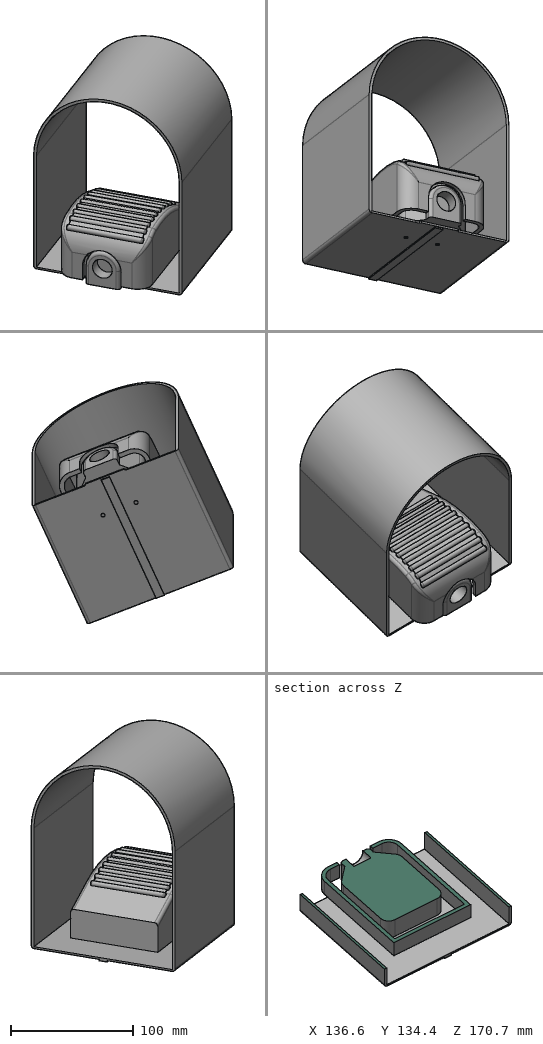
import cadquery as cq
import math

TURN = -3.4

GUARD_WIDTH = 130.0
GUARD_DEPTH = 115.5
GUARD_HEIGHT = 169.5
GUARD_SPRING = 105.7
GUARD_WALL = 2.5
GUARD_CORNER = 2.9
FLOOR = 1.7

KEEL_WIDTH = 7.3
KEEL_DROP = 1.2
TONGUE_WIDTH = 36.5
TONGUE_REACH = 1.4
PIN_DIAMETER = 3.2
PIN_DROP = 0.5
PIN_X = 14.7
PIN_Y = 29.9

PEDAL_WIDTH = 78.7
PEDAL_FRONT = -13.7
PEDAL_REAR = 94.0
PEDAL_BOTTOM = 5.6
PEDAL_WALL = 4.0
PEDAL_CORNER = 13.1
PEDAL_TOP_EDGE = 2.9
NOSE_BOTTOM = 29.7
NOSE_RADIUS = 24.6
CROWN_RADIUS = 94.0
CROWN_Y = 22.7
REAR_SLOPE = 26.0
SLOT_WIDTH = 34.0

PAD_THICKNESS = 0.9
RIB_COUNT = 10
RIB_DIAMETER = 5.0
RIB_LENGTH = 67.1
RIB_END_FILLET = 1.28
RIB_PITCH = 8.4
FIRST_RIB_ANGLE = 43.0

BOSS_DIAMETER = 30.0
BOSS_FRONT = -12.5
BOSS_FILLET = 2.9
BOSS_AXIS_Z = 18.6
HOLE_DIAMETER = 17.2
HOLE_DEPTH = 11.0
BASE_WIDTH = 60.1
BASE_CORNER = 8.5
WING_START = -5.8
BASE_REAR = 71.7

nose_y = PEDAL_FRONT + NOSE_RADIUS
nose_z = NOSE_BOTTOM
crown_z = nose_z - math.sqrt((CROWN_RADIUS - NOSE_RADIUS) ** 2 - (CROWN_Y - nose_y) ** 2)
blend_angle = math.degrees(math.asin((CROWN_Y - nose_y) / (CROWN_RADIUS - NOSE_RADIUS)))


def top_point(angle, inset=0.0):
    """Point (y, z) of the pedal's top where it climbs at this angle in degrees."""
    if angle > blend_angle:
        center_y, center_z, radius = nose_y, nose_z, NOSE_RADIUS
    else:
        center_y, center_z, radius = CROWN_Y, crown_z, CROWN_RADIUS
    turn = math.radians(angle)
    reach = radius - inset
    return center_y - reach * math.sin(turn), center_z + reach * math.cos(turn)


def box(x_min, x_max, y_min, y_max, z_min, z_max):
    size = (x_max - x_min, y_max - y_min, z_max - z_min)
    return cq.Workplane("XY").box(*size, centered=False).translate((x_min, y_min, z_min))


def arch(width, spring_z, top, bottom, y_front, y_rear):
    """Upright block with an arched top, running from front to rear."""
    half = width / 2
    outline = (
        cq.Workplane("XZ", origin=(0, y_front, 0))
        .moveTo(-half, bottom)
        .lineTo(-half, spring_z)
        .threePointArc((0, top), (half, spring_z))
        .lineTo(half, bottom)
        .close()
    )
    return outline.extrude(y_front - y_rear)


def make_guard():
    outer = arch(GUARD_WIDTH, GUARD_SPRING, GUARD_HEIGHT, 0, 0, GUARD_DEPTH)
    outer = outer.edges("|Y and <Z").fillet(GUARD_CORNER)
    inner_width = GUARD_WIDTH - 2 * GUARD_WALL
    inner = arch(inner_width, GUARD_SPRING, GUARD_HEIGHT - GUARD_WALL, FLOOR, 0, GUARD_DEPTH)
    guard = outer.cut(inner)

    keel = box(-KEEL_WIDTH / 2, KEEL_WIDTH / 2, 0, GUARD_DEPTH, -KEEL_DROP, FLOOR)
    half = TONGUE_WIDTH / 2
    tongue = (
        cq.Workplane("XY")
        .polyline(
            [
                (-half, 0),
                (-half + TONGUE_REACH, -TONGUE_REACH),
                (half - TONGUE_REACH, -TONGUE_REACH),
                (half, 0),
            ]
        )
        .close()
        .extrude(FLOOR)
    )
    pins = (
        cq.Workplane("XY", origin=(0, 0, -PIN_DROP))
        .pushPoints([(-PIN_X, PIN_Y), (PIN_X, PIN_Y)])
        .circle(PIN_DIAMETER / 2)
        .extrude(FLOOR)
    )
    return guard.union(keel).union(tongue).union(pins)


def pedal_block(inset):
    """Solid pedal shape, moved inwards by the inset on every side except the bottom."""
    half = PEDAL_WIDTH / 2 - inset
    front = PEDAL_FRONT + inset
    rear = PEDAL_REAR - inset
    slope_start = top_point(-REAR_SLOPE, inset)
    rear_z = slope_start[1] - (rear - slope_start[0]) * math.tan(math.radians(REAR_SLOPE))
    profile = (
        cq.Workplane("YZ", origin=(-half, 0, 0))
        .moveTo(front, PEDAL_BOTTOM)
        .lineTo(front, NOSE_BOTTOM)
        .threePointArc(top_point((90 + blend_angle) / 2, inset), top_point(blend_angle, inset))
        .threePointArc(top_point(0, inset), slope_start)
        .lineTo(rear, rear_z)
        .lineTo(rear, PEDAL_BOTTOM)
        .close()
        .extrude(2 * half)
    )
    plan = box(-half, half, front, rear, PEDAL_BOTTOM, GUARD_HEIGHT)
    plan = plan.edges("|Z and <Y").fillet(PEDAL_CORNER - inset)
    return profile.intersect(plan)


def make_pedal():
    cavity = pedal_block(PEDAL_WALL)
    slot = arch(
        SLOT_WIDTH,
        BOSS_AXIS_Z,
        BOSS_AXIS_Z + SLOT_WIDTH / 2,
        PEDAL_BOTTOM,
        PEDAL_FRONT,
        PEDAL_FRONT + 2 * PEDAL_WALL,
    )
    block = pedal_block(inset=0)
    flat_half = PEDAL_WIDTH / 2 - PEDAL_CORNER
    for side in (-1, 1):
        inner_corner = (side * flat_half, PEDAL_FRONT, NOSE_BOTTOM)
        outer_corner = (side * PEDAL_WIDTH, PEDAL_REAR, GUARD_HEIGHT)
        top_edges = block.edges(cq.selectors.BoxSelector(inner_corner, outer_corner)).edges("not |Z")
        block = top_edges.fillet(PEDAL_TOP_EDGE)
    return block.cut(cavity).cut(slot)


def make_rib(angle):
    """Round bar half sunk into the top where it climbs at this angle."""
    y, z = top_point(angle)
    bar = cq.Workplane("YZ", origin=(-RIB_LENGTH / 2, y, z)).circle(RIB_DIAMETER / 2).extrude(RIB_LENGTH)
    return bar.edges().fillet(RIB_END_FILLET)


def next_rib_angle(angle):
    """Climb angle one pitch further back along the top, across the blend of the two arcs."""
    nose_left = max(0.0, math.radians(angle - blend_angle) * NOSE_RADIUS)
    if nose_left > RIB_PITCH:
        return angle - math.degrees(RIB_PITCH / NOSE_RADIUS)
    return min(angle, blend_angle) - math.degrees((RIB_PITCH - nose_left) / CROWN_RADIUS)


def make_pad(first_angle, last_angle):
    """Raised strip that follows the top from the first rib to the last."""
    half = RIB_LENGTH / 2 - RIB_END_FILLET
    y_front = top_point(first_angle)[0]
    y_rear = top_point(last_angle)[0]
    layer = pedal_block(-PAD_THICKNESS).cut(pedal_block(PEDAL_WALL / 2))
    return layer.intersect(box(-half, half, y_front, y_rear, NOSE_BOTTOM, GUARD_HEIGHT))


def make_base():
    half = BASE_WIDTH / 2
    neck = BOSS_DIAMETER / 2
    wing_end = WING_START + half - neck
    core = (
        cq.Workplane("XY", origin=(0, 0, FLOOR))
        .polyline(
            [
                (-neck, WING_START),
                (-half, wing_end),
                (-half, BASE_REAR),
                (half, BASE_REAR),
                (half, wing_end),
                (neck, WING_START),
            ]
        )
        .close()
        .extrude(GUARD_HEIGHT)
    )
    core = core.edges("|Z and (<X or >X)").fillet(BASE_CORNER)
    roof = pedal_block(PEDAL_WALL / 2)
    core = core.intersect(roof.union(box(-half, half, WING_START, BASE_REAR, FLOOR, PEDAL_BOTTOM)))
    boss = arch(BOSS_DIAMETER, BOSS_AXIS_Z, BOSS_AXIS_Z + BOSS_DIAMETER / 2, FLOOR, BOSS_FRONT, 0)
    boss = boss.faces("<Y").edges("not <Z").fillet(BOSS_FILLET)
    hole = (
        cq.Workplane("XZ", origin=(0, BOSS_FRONT, BOSS_AXIS_Z))
        .circle(HOLE_DIAMETER / 2)
        .extrude(-HOLE_DEPTH)
    )
    return core.union(boss).cut(hole)


rib_angles = [FIRST_RIB_ANGLE]
while len(rib_angles) < RIB_COUNT:
    rib_angles.append(next_rib_angle(rib_angles[-1]))

part = make_guard().union(make_base()).union(make_pedal())
part = part.union(make_pad(rib_angles[0], rib_angles[-1]))
for rib_angle in rib_angles:
    part = part.union(make_rib(rib_angle))
result = part.rotate((0, 0, 0), (0, 0, 1), TURN)